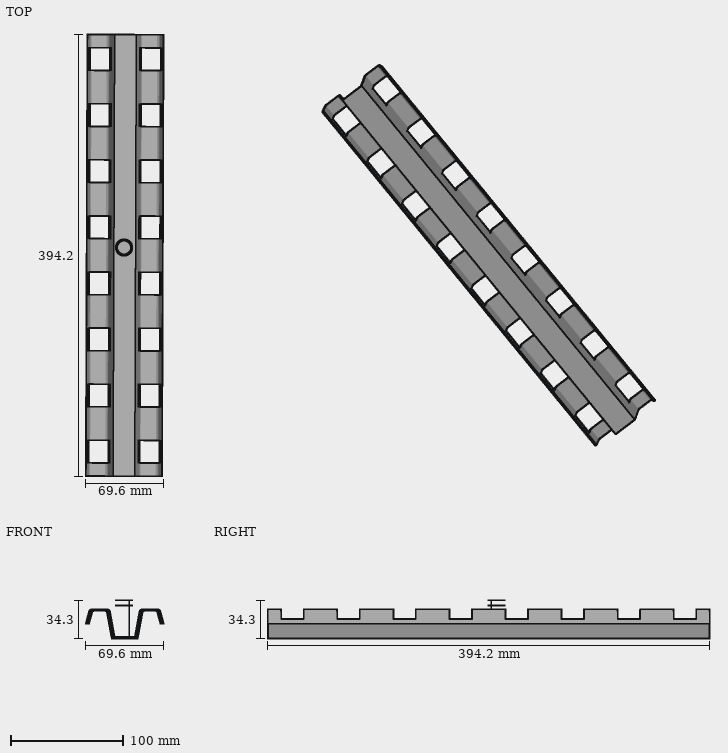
import cadquery as cq
import math

rail_length = 394.0
sheet = 1.5
rail_height = 26.2
floor_half_width = 9.65
web_angle = 10.5
flange_angle = 15.0
rim_half_width = 34.09
rim_height = 13.1
bend_inner_radius = 1.5
bend_outer_radius = bend_inner_radius + sheet
rail_twist = -0.2

slot_count = 8
slot_length = 20.0
slot_pitch = 50.0
slot_floor = 17.5

overall_height = 34.28
disc_level = 29.6
plate = 0.1
plate_radius = 7.4
ring_inner_radius = 6.1
plate_x = -0.6
plate_y = 7.0
stem_size = 0.1

web_slope = math.tan(math.radians(web_angle))
flange_slope = math.tan(math.radians(flange_angle))
shoulder_start = floor_half_width + (rail_height - sheet) * web_slope
shoulder_end = rim_half_width - (rail_height - rim_height) * flange_slope
rim_thickness = sheet / math.cos(math.radians(flange_angle))


def mitre(angle):
    """Sideways shift of a bend corner through the sheet, for a leg leaning by angle."""
    return sheet * math.tan(math.radians(90 - angle) / 2)


def make_rail():
    """Extrude the hat section along Y and round the shoulder bends."""
    upper = [
        (floor_half_width, sheet),
        (shoulder_start, rail_height),
        (shoulder_end, rail_height),
        (rim_half_width, rim_height),
    ]
    lower = [
        (rim_half_width - rim_thickness, rim_height),
        (shoulder_end - mitre(flange_angle), rail_height - sheet),
        (shoulder_start + mitre(web_angle), rail_height - sheet),
        (floor_half_width + mitre(web_angle), 0),
    ]
    right_side = upper + lower
    left_side = [(-x, z) for x, z in reversed(right_side)]
    rail = (
        cq.Workplane("XZ")
        .polyline(right_side + left_side)
        .close()
        .extrude(rail_length / 2, both=True)
    )
    outer_bends = rail.faces(">Z").edges("|Y")
    rail = outer_bends.fillet(bend_outer_radius)
    underside = rail_height - sheet
    margin = sheet / 10
    underside_slice = cq.selectors.BoxSelector(
        (-rim_half_width, -rail_length, underside - margin),
        (rim_half_width, rail_length, underside + margin),
    )
    inner_bends = rail.edges("|Y").edges(underside_slice)
    return inner_bends.fillet(bend_inner_radius)


def cut_slots(rail):
    """Cut the row of slots through both shoulders, down to the slot bottoms."""
    slot_depth = rail_height - slot_floor
    for index in range(slot_count):
        y = (index - (slot_count - 1) / 2) * slot_pitch
        cutter = cq.Workplane("XY", origin=(0, y, slot_floor)).box(
            2 * rim_half_width, slot_length, slot_depth, centered=(True, True, False)
        )
        rail = rail.cut(cutter)
    return rail


def make_plate(top_level):
    """Thin round plate with its top face at the given height."""
    plane = cq.Workplane("XY", origin=(plate_x, plate_y, top_level - plate))
    return plane.circle(plate_radius).extrude(plate)


def make_plates():
    """Disc and ring, one above the other, on a stem rising from the channel floor."""
    disc = make_plate(disc_level)
    ring = make_plate(overall_height).faces(">Z").workplane().circle(ring_inner_radius).cutThruAll()
    stem_offset = (plate_radius + ring_inner_radius) / 2 * math.sqrt(0.5)
    stem_foot = sheet / 2
    stem = cq.Workplane("XY", origin=(plate_x + stem_offset, plate_y - stem_offset, stem_foot)).box(
        stem_size, stem_size, overall_height - stem_foot, centered=(True, True, False)
    )
    return stem.union(disc).union(ring)


rail = cut_slots(make_rail()).rotate((0, 0, 0), (0, 0, 1), rail_twist)
result = rail.union(make_plates())